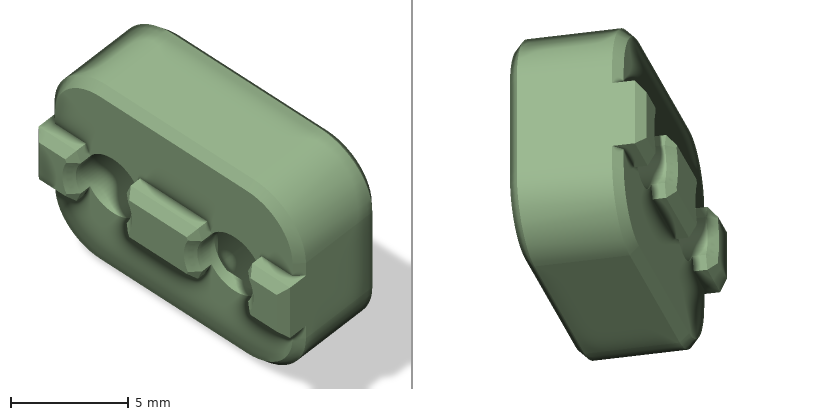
import cadquery as cq
import math

width = 14.5
height = 10.5
depth = 5.0
corner_radius = 3.0
edge_chamfer = 0.4

rib_rise = 1.0
rib_height = 3.0
rib_shoulder_gap = 1.57
rib_nose_half_height = 0.9

hole_diameter = 3.2
hole_spacing = 7.0

recess_diameter = 4.5
recess_front_wall = 0.5
square_step_depth = 0.2

hole_radius = hole_diameter / 2
hole_x = hole_spacing / 2
rib_nose_gap = math.sqrt(hole_radius**2 - rib_nose_half_height**2)


def front_plane(y):
    """Sketch plane facing -Y, so positive extrusions run toward -Y."""
    return cq.Workplane("XZ", origin=(0, y, 0))


def make_block():
    block = front_plane(depth).rect(width, height).extrude(depth)
    block = block.edges("|Y").fillet(corner_radius)
    return block.faces("<Y or >Y").edges().chamfer(edge_chamfer)


def make_holes():
    return (
        front_plane(depth)
        .pushPoints([(-hole_x, 0), (hole_x, 0)])
        .circle(hole_radius)
        .extrude(depth + rib_rise)
    )


def rib_segment(half_outline):
    """Extrude the outline mirrored about the X axis, reaching back through the front chamfer."""
    mirrored = [(x, -z) for x, z in reversed(half_outline)]
    segment = front_plane(edge_chamfer).polyline(half_outline + mirrored).close()
    return segment.extrude(edge_chamfer + rib_rise)


def make_rib_segments():
    """Middle and two end segments, with slanted ends scooped by the holes and chamfered rims."""
    shoulder_z = rib_height / 2
    nose_z = rib_nose_half_height
    middle_shoulder = hole_x - rib_shoulder_gap
    middle_nose = hole_x - rib_nose_gap
    outer_shoulder = hole_x + rib_shoulder_gap
    outer_nose = hole_x + rib_nose_gap

    middle = rib_segment([
        (-middle_nose, nose_z),
        (-middle_shoulder, shoulder_z),
        (middle_shoulder, shoulder_z),
        (middle_nose, nose_z),
    ])
    right_end = rib_segment([
        (outer_nose, nose_z),
        (outer_shoulder, shoulder_z),
        (width / 2, shoulder_z),
    ])
    left_end = right_end.mirror("YZ")
    holes = make_holes()
    return [
        segment.cut(holes).faces("<Y").edges().chamfer(edge_chamfer)
        for segment in (middle, left_end, right_end)
    ]


def make_recess():
    """Round recess from the back, with a shallow square step at its floor."""
    recess_depth = depth - recess_front_wall - square_step_depth
    recess = front_plane(depth).center(hole_x, 0).circle(recess_diameter / 2).extrude(recess_depth)
    square_step = (
        front_plane(depth - recess_depth)
        .center(hole_x, 0)
        .rect(hole_diameter, hole_diameter)
        .extrude(square_step_depth)
    )
    return recess.union(square_step)


result = make_block()
for rib_part in make_rib_segments():
    result = result.union(rib_part)
result = result.cut(make_holes()).cut(make_recess())